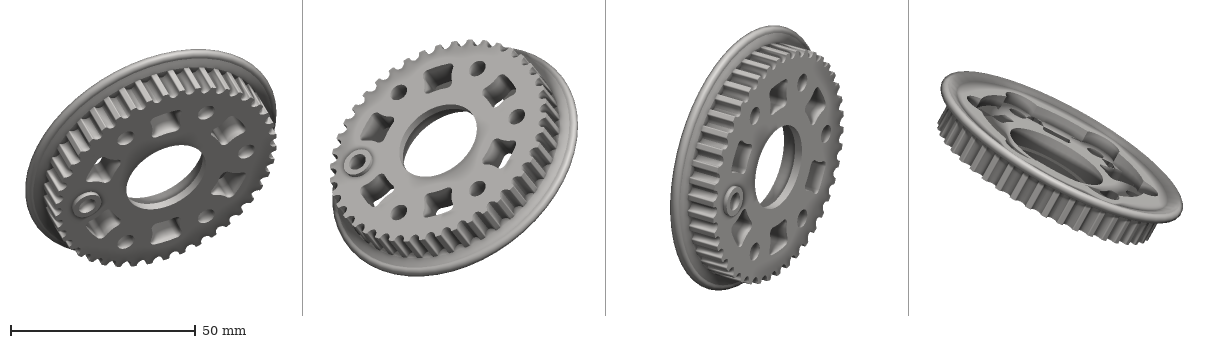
import cadquery as cq
import math


flange_diameter = 74.2
total_width = 13.0
pulley_width = 11.7

dish_rim_radius = 35.6
dish_floor_radius = 32.4
dish_depth = 0.9
rim_width = 2.7
back_cone_radius = 35.3
back_cone_height = 0.8

tooth_count = 42
tip_radius = 32.8
groove_depth = 2.1
groove_half_width = 1.5
wall_arc_radius = 1.8
mouth_round = 0.4

bolt_count = 6
bolt_circle_radius = 23.8
bolt_hole_diameter = 5.05
boss_diameter = 8.25

pocket_radius = 25.5
pocket_depth = 3.4
lobe_radius = 5.6

bore_diameter = 23.5
counterbore_diameter = 28.6
counterbore_depth = 5.2

window_inner_radius = 17.4
bolt_pad_radius = 7.9
window_corner_radius = 1.5

pocket_floor = dish_depth + pocket_depth
flange_back = rim_width + back_cone_height
bolt_pitch = 360.0 / bolt_count


def disc(radius, start, end):
    """Solid disc on the X axis, from x = start to x = end."""
    return cq.Workplane("YZ", origin=(start, 0, 0)).circle(radius).extrude(end - start)


def bolt_discs(radius, start, end):
    """One disc at every bolt position."""
    return (
        cq.Workplane("YZ", origin=(start, 0, 0))
        .polarArray(bolt_circle_radius, 0, 360, bolt_count)
        .circle(radius)
        .extrude(end - start)
    )


def make_flange():
    """Revolved plate with a conical dish in front and a rounded rim."""
    outer_radius = flange_diameter / 2
    rim_round = rim_width / 2
    rim_center_radius = outer_radius - rim_round
    return (
        cq.Workplane("XY")
        .moveTo(0, dish_rim_radius)
        .lineTo(0, rim_center_radius)
        .threePointArc((rim_round, outer_radius), (rim_width, rim_center_radius))
        .lineTo(rim_width, back_cone_radius)
        .lineTo(flange_back, tip_radius)
        .lineTo(flange_back, 0)
        .lineTo(dish_depth, 0)
        .lineTo(dish_depth, dish_floor_radius)
        .close()
        .revolve(360, (0, 0, 0), (1, 0, 0))
    )


def make_toothed_ring():
    """Ring of pointed-arch belt grooves with rounded mouths; one groove points along +Y."""
    mouth_half_width = groove_half_width + mouth_round
    land_edge = math.sqrt(tip_radius**2 - mouth_half_width**2)
    mouth_middle = land_edge - mouth_round + mouth_round * math.sqrt(0.5)
    mouth_across = mouth_half_width - mouth_round * math.sqrt(0.5)

    wall_top = land_edge - mouth_round
    bottom = tip_radius - groove_depth
    wall_height = wall_top - bottom
    wall_chord = math.hypot(wall_height, groove_half_width)
    wall_bulge = wall_arc_radius - math.sqrt(wall_arc_radius**2 - (wall_chord / 2) ** 2)
    wall_middle = (wall_top + bottom) / 2 - wall_bulge * groove_half_width / wall_chord
    wall_across = groove_half_width / 2 + wall_bulge * wall_height / wall_chord

    def turned(radial, across, angle):
        return (
            radial * math.cos(angle) - across * math.sin(angle),
            radial * math.sin(angle) + across * math.cos(angle),
        )

    pitch = 2 * math.pi / tooth_count
    arcs = [
        ((mouth_middle, -mouth_across), (wall_top, -groove_half_width)),
        ((wall_middle, -wall_across), (bottom, 0)),
        ((wall_middle, wall_across), (wall_top, groove_half_width)),
        ((mouth_middle, mouth_across), (land_edge, mouth_half_width)),
    ]
    outline = cq.Workplane("YZ", origin=(dish_depth, 0, 0)).moveTo(land_edge, -mouth_half_width)
    for groove in range(tooth_count):
        angle = groove * pitch
        for middle, end in arcs:
            outline = outline.threePointArc(turned(*middle, angle), turned(*end, angle))
        outline = outline.threePointArc(
            turned(tip_radius, 0, angle + pitch / 2),
            turned(land_edge, -mouth_half_width, angle + pitch),
        )
    return outline.close().extrude(pulley_width - dish_depth)


def make_windows():
    """Through windows: ring sectors left between round pads at the bolts."""
    ring = disc(pocket_radius, 0, total_width).cut(disc(window_inner_radius, 0, total_width))
    sectors = ring.cut(bolt_discs(bolt_pad_radius, 0, total_width))
    top_sector = cq.Workplane(sectors.solids(">Z").val())
    window = top_sector.edges("|X").fillet(window_corner_radius)
    windows = window
    for index in range(1, bolt_count):
        windows = windows.union(window.rotate((0, 0, 0), (1, 0, 0), index * bolt_pitch))
    return windows


flange = make_flange()
boss = disc(boss_diameter / 2, pocket_floor, total_width).translate((0, -bolt_circle_radius, 0))
pocket = disc(pocket_radius, 0, pocket_floor).union(bolt_discs(lobe_radius, 0, pocket_floor))

result = (
    flange.union(make_toothed_ring())
    .union(boss)
    .cut(pocket)
    .cut(disc(counterbore_diameter / 2, 0, pocket_floor + counterbore_depth))
    .cut(disc(bore_diameter / 2, 0, total_width))
    .cut(bolt_discs(bolt_hole_diameter / 2, 0, total_width))
    .cut(make_windows())
)